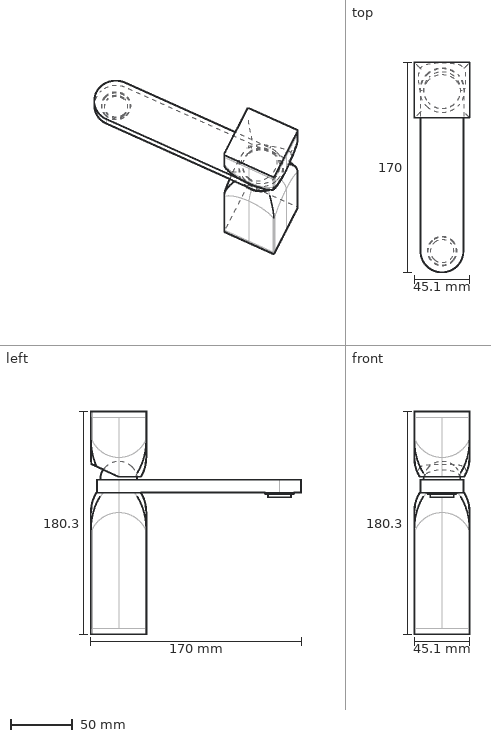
import cadquery as cq
import math

column_width = 45.0
corner_radius = 1.0
plinth_height = 4.9

round_end_radius = 18.0
blend_height = 15.9
arch_radius = 23.8
blend_ribs = 5
points_per_rib = 12

total_height = 180.3
body_height = 114.5
spout_top = 125.1
knob_bottom = 127.3

spout_width = 35.0
spout_reach = 130.0
ball_radius = 15.0
flange_radius = 11.9
flange_height = 1.0
flange_chamfer = 0.5
outlet_radius = 9.4
outlet_length = 3.8

knob_tilt = 25.0

half_width = column_width / 2
flat_half = half_width - corner_radius
corner_reach = math.sqrt(2) * flat_half + corner_radius
eighth_turn = math.pi / 4


def arch_drop(offset):
    """Depth of the arch below its crown at a distance from the middle of the side."""
    return arch_radius - math.sqrt(arch_radius**2 - offset**2)


def polar(radius, angle, z):
    return cq.Vector(radius * math.cos(angle), radius * math.sin(angle), z)


def blend_rib(start, angle, top):
    """Arc that leaves the column vertically and ends on the round end circle."""
    return cq.Edge.makeTangentArc(start, cq.Vector(0, 0, 1), polar(round_end_radius, angle, top))


def corner_arc(z):
    """Half of a rounded column corner, from the flat side to the corner's middle."""
    start = cq.Vector(half_width, flat_half, z)
    centre = cq.Vector(flat_half, flat_half, z)
    bend = centre + polar(corner_radius, eighth_turn / 2, 0)
    return cq.Edge.makeThreePointArc(start, bend, polar(corner_reach, eighth_turn, z))


def arch_edge(crown):
    """Half of the arch on a flat side, from its crown to the rounded corner."""
    ends_and_bend = [
        cq.Vector(half_width, offset, crown - arch_drop(offset))
        for offset in (0, flat_half / 2, flat_half)
    ]
    return cq.Edge.makeThreePointArc(*ends_and_bend)


def flat_half_side(arch):
    """Flat half of a side, from the plinth up to the arch."""
    low_middle = cq.Vector(half_width, 0, plinth_height)
    low_corner = cq.Vector(half_width, flat_half, plinth_height)
    outline = [
        cq.Edge.makeLine(low_middle, low_corner),
        cq.Edge.makeLine(low_corner, arch.endPoint()),
        arch,
        cq.Edge.makeLine(arch.startPoint(), low_middle),
    ]
    return cq.Face.makeFromWires(cq.Wire.assembleEdges(outline))


def blend_guide_points(crown, top):
    """Points on the ribs that shape a blend patch between its edges."""
    points = []
    for rib in range(1, blend_ribs + 1):
        offset = flat_half * rib / blend_ribs
        start = cq.Vector(half_width, offset, crown - arch_drop(offset))
        profile = blend_rib(start, math.atan2(offset, half_width), top)
        for step in range(1, points_per_rib + 1):
            points.append(profile.positionAt(step / (points_per_rib + 1)))
    return points


def blend_patch(arch, corner_top, top):
    """Curved patch from the arch and the rounded corner up to the round end."""
    end_arc = cq.Edge.makeThreePointArc(
        polar(round_end_radius, 0, top),
        polar(round_end_radius, eighth_turn / 2, top),
        polar(round_end_radius, eighth_turn, top),
    )
    outline = [
        blend_rib(arch.startPoint(), 0, top),
        arch,
        corner_top,
        blend_rib(corner_top.endPoint(), eighth_turn, top),
        end_arc,
    ]
    return cq.Face.makeNSidedSurface(outline, blend_guide_points(arch.startPoint().z, top))


def octant_faces(height):
    """Skin between the middle of a side and the middle of a corner."""
    arch = arch_edge(height - blend_height)
    corner_top = corner_arc(arch.endPoint().z)
    corner_strip = cq.Face.makeRuledSurface(corner_arc(plinth_height), corner_top)
    return [flat_half_side(arch), corner_strip, blend_patch(arch, corner_top, height)]


def square_to_round_column(height):
    """Upright square column on a plinth, blending into a round end at the top."""
    octant = octant_faces(height)
    quarter = octant + [face.mirror("XZ") for face in octant]
    axis_start = cq.Vector(0, 0, 0)
    axis_end = cq.Vector(0, 0, 1)
    skin = [face.rotate(axis_start, axis_end, 90 * turn) for turn in range(4) for face in quarter]

    plinth = (
        cq.Workplane("XY")
        .rect(column_width, column_width)
        .extrude(plinth_height)
        .edges("|Z")
        .fillet(corner_radius)
    )
    floor = plinth.faces(">Z").val()
    round_end = cq.Face.makeFromWires(
        cq.Wire.makeCircle(round_end_radius, cq.Vector(0, 0, height), cq.Vector(0, 0, 1))
    )
    shaft = cq.Solid.makeSolid(cq.Shell.makeShell(skin + [floor, round_end]))
    return plinth.union(cq.Workplane(shaft), clean=False)


def ball():
    """Upper half of the ball that the knob sits on."""
    base = cq.Workplane("XY", origin=(0, 0, spout_top))
    upper_space = base.circle(column_width).extrude(column_width)
    return base.sphere(ball_radius).intersect(upper_space)


def make_body():
    """Column that stands on the floor and carries the spout."""
    return square_to_round_column(body_height).solids()


def make_spout():
    """Round-ended bar with the ball on top and a flanged outlet under its tip."""
    bar = (
        cq.Workplane("XY", origin=(0, -spout_reach / 2, body_height))
        .slot2D(spout_reach + spout_width, spout_width, 90)
        .extrude(spout_top - body_height)
    )
    under_tip = cq.Workplane("XY", origin=(0, -spout_reach, body_height))
    flange = under_tip.circle(flange_radius).extrude(-flange_height).faces("<Z").chamfer(flange_chamfer)
    outlet = under_tip.circle(outlet_radius).extrude(-outlet_length)
    return bar.union(flange).union(outlet).union(ball()).solids()


def make_knob():
    """Inverted column with a ball socket and a tilted relief under its rear half."""
    upright = square_to_round_column(total_height - knob_bottom)
    knob = upright.rotate((0, 0, 0), (1, 0, 0), 180).translate((0, 0, total_height))
    relief_rise = column_width * math.tan(math.radians(knob_tilt))
    relief = (
        cq.Workplane("YZ", origin=(0, 0, knob_bottom))
        .polyline([(0, 0), (column_width, 0), (column_width, relief_rise)])
        .close()
        .extrude(column_width, both=True)
    )
    return knob.cut(relief, clean=False).cut(ball(), clean=False).solids()


body = make_body()
spout = make_spout()
knob = make_knob()

result = cq.Compound.makeCompound([body.val(), spout.val(), knob.val()])